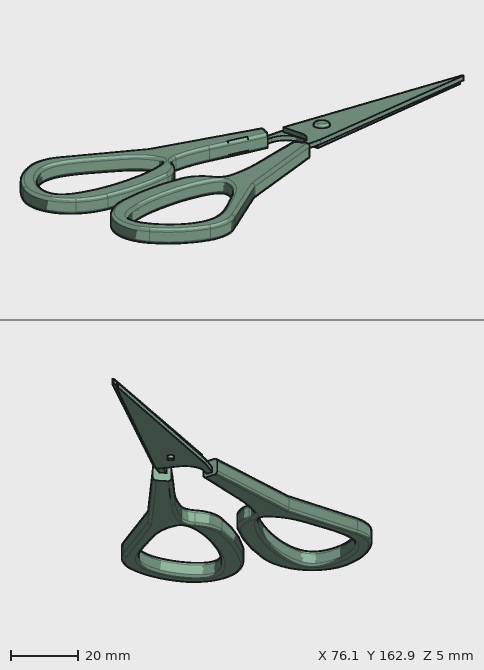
import cadquery as cq
import math


handle_thickness = 5.0
blade_thickness = 1.5
handle_fillet = 1.0

tip_y = 59.75
tip_inner_x = 0.45
tip_outer_x = 0.95
heel_y = -9.1
heel_cutting_x = -7.1
strip_outer_x = 8.15
strip_inner_x = 6.15
strip_end_y = -20.0
throat_radius = strip_inner_x

rivet_diameter = 2.0
rivet_head_diameter = 5.0
rivet_head_fillet = 0.95

cap_outer = (9.92, -15.54)
cap_inner = (4.93, -17.97)
outer_bend = (21.75, -51.45)
bow_start = (36.07, -74.98)
bow_arc_ends = [
    (37.27, -86.6),
    (25.87, -100.9),
    (7.19, -97.9),
    (2.9, -88.64),
    (2.44, -63.4),
    (8.33, -55.3),
    (11.12, -50.93),
    (9.68, -38.06),
    cap_inner,
]
finger_hole_curve = [
    (13.98, -55.25),
    (17.25, -56.75),
    (25.75, -66.49),
    (32.92, -82.57),
    (28.03, -92.93),
    (15.08, -98.24),
    (9.66, -88.63),
    (8.1, -71.48),
    (9.0, -62.86),
]


def on_cap(edge):
    """True for an edge along the flat end of the handle, where the blade strip enters."""
    middle = edge.positionAt(0.5)
    cap_middle = (cq.Vector(*cap_outer) + cq.Vector(*cap_inner)) / 2
    return math.hypot(middle.x - cap_middle.x, middle.y - cap_middle.y) < handle_fillet


def make_handle():
    """Handle with its finger hole, rounded along every long edge but square at the cap."""
    base = cq.Workplane("XY").workplane(offset=-handle_thickness / 2)
    outline = base.moveTo(*cap_outer).lineTo(*outer_bend).lineTo(*bow_start)
    for arc_end in bow_arc_ends:
        outline = outline.tangentArcPoint(arc_end, relative=False)
    body = outline.close().extrude(handle_thickness)
    finger_hole = base.spline(finger_hole_curve, periodic=True).wire().extrude(handle_thickness)
    body = body.cut(finger_hole)
    long_edges = body.faces(">Z or <Z").edges().filter(lambda edge: not on_cap(edge))
    return body.newObject(long_edges.vals()).fillet(handle_fillet)


def make_blade():
    """Flat tapered blade above Z = 0, with the round throat and the rivet hole."""
    throat_center_y = heel_y - throat_radius
    return (
        cq.Workplane("XY")
        .moveTo(tip_inner_x, tip_y)
        .lineTo(tip_outer_x, tip_y)
        .lineTo(strip_outer_x, heel_y)
        .lineTo(strip_outer_x, strip_end_y)
        .lineTo(strip_inner_x, strip_end_y)
        .lineTo(strip_inner_x, throat_center_y)
        .radiusArc((0, heel_y), -throat_radius)
        .lineTo(heel_cutting_x, heel_y)
        .close()
        .extrude(blade_thickness)
        .cut(cq.Workplane("XY").circle(rivet_diameter / 2).extrude(blade_thickness))
    )


def make_scissor_half(turn):
    """Blade and handle as one solid, turned about the long axis to give either half of the scissors."""
    return make_handle().union(make_blade()).rotate((0, 0, 0), (0, 1, 0), turn)


def make_rivet():
    """Pin through both blades with a rounded head on the upper one."""
    head_height = handle_thickness / 2 - blade_thickness
    pin = (
        cq.Workplane("XY")
        .workplane(offset=-handle_thickness / 2)
        .circle(rivet_diameter / 2)
        .extrude(handle_thickness)
    )
    head = (
        cq.Workplane("XY")
        .workplane(offset=blade_thickness)
        .circle(rivet_head_diameter / 2)
        .extrude(head_height)
        .faces(">Z")
        .edges()
        .fillet(rivet_head_fillet)
    )
    return pin.union(head)


scissor_halves = [make_scissor_half(turn) for turn in (0, 180)]
rivet = make_rivet()

result = cq.Compound.makeCompound([*(half.val() for half in scissor_halves), rivet.val()])